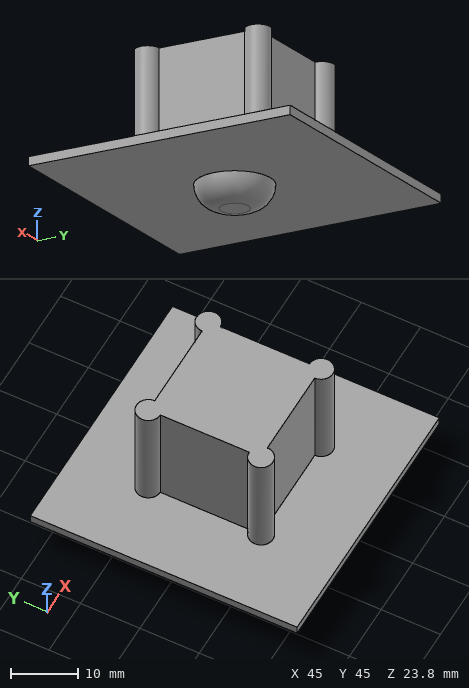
import cadquery as cq
import math

plate_side = 45.0
plate_thickness = 1.5
total_height = 23.8
block_side = 19.0
block_height = 18.55
post_diameter = 4.0
dome_diameter = 12.25
dome_depth = total_height - plate_thickness - block_height

plate = cq.Workplane("XY").rect(plate_side, plate_side).extrude(-plate_thickness)

block = cq.Workplane("XY").rect(block_side, block_side).extrude(block_height)
posts = (
    cq.Workplane("XY")
    .rect(block_side, block_side, forConstruction=True)
    .vertices()
    .circle(post_diameter / 2)
    .extrude(block_height)
)


def make_dome():
    """Round button under the plate: a quarter-round side ending in a flat bottom."""
    radius = dome_diameter / 2
    flat_radius = radius - dome_depth
    top = -plate_thickness
    bottom = top - dome_depth
    arc_middle = dome_depth * math.sqrt(0.5)
    return (
        cq.Workplane("XZ")
        .moveTo(0, top)
        .lineTo(radius, top)
        .threePointArc((flat_radius + arc_middle, top - arc_middle), (flat_radius, bottom))
        .lineTo(0, bottom)
        .close()
        .revolve(360, (0, 0, 0), (0, 1, 0))
    )


result = plate.union(block).union(posts).union(make_dome())